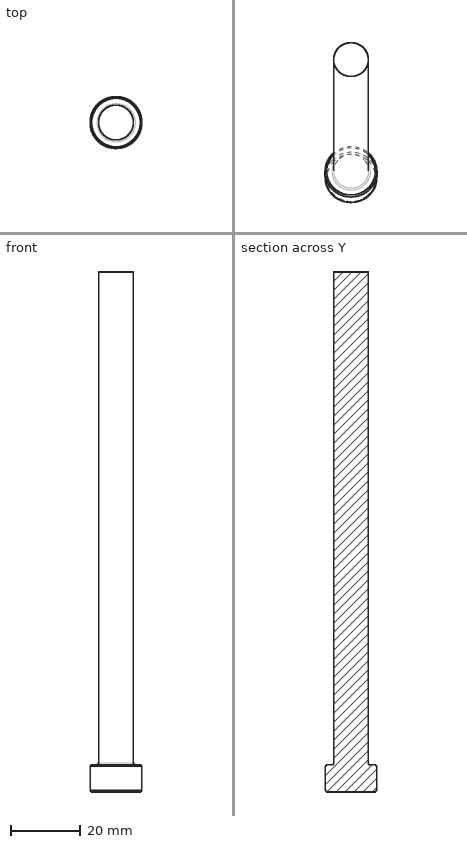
import cadquery as cq

total_length = 150.0
head_diameter = 15.0
head_height = 8.0
shaft_diameter = 10.0

head_rim_size = 0.5
neck_fillet = 0.5

head_radius = head_diameter / 2
shaft_radius = shaft_diameter / 2
neck_radius = shaft_radius + neck_fillet
rim_radius = head_radius - head_rim_size

profile = (
    cq.Workplane("XZ")
    .lineTo(rim_radius, 0)
    .lineTo(head_radius, head_rim_size)
    .lineTo(head_radius, head_height - head_rim_size)
    .lineTo(rim_radius, head_height)
    .lineTo(neck_radius, head_height)
    .radiusArc((shaft_radius, head_height + neck_fillet), neck_fillet)
    .lineTo(shaft_radius, total_length)
    .lineTo(0, total_length)
    .close()
)

result = profile.revolve(360, (0, 0, 0), (0, 1, 0))